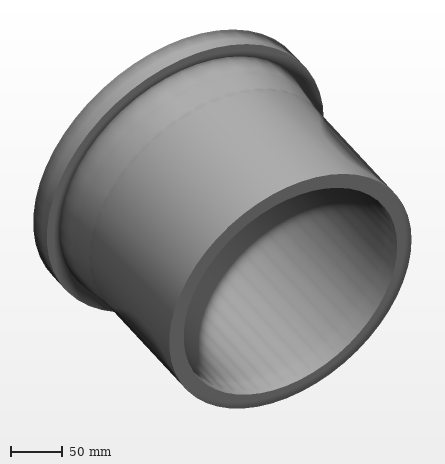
import cadquery as cq

total_length = 218.0
flange_diameter = 320.0
flange_thickness = 25.0
shoulder_diameter = 291.0
shoulder_length = 48.0
pipe_diameter = 280.0
wall_thickness = 16.6

flange_radius = flange_diameter / 2
shoulder_radius = shoulder_diameter / 2
pipe_radius = pipe_diameter / 2
bore_radius = pipe_radius - wall_thickness
shoulder_end = flange_thickness + shoulder_length


def stub_end():
    """Revolve the wall section: flange, tapered shoulder and straight pipe around one bore."""
    wall_section = (
        cq.Workplane("XY")
        .moveTo(0, bore_radius)
        .lineTo(0, flange_radius)
        .lineTo(flange_thickness, flange_radius)
        .lineTo(flange_thickness, shoulder_radius)
        .lineTo(shoulder_end, pipe_radius)
        .lineTo(total_length, pipe_radius)
        .lineTo(total_length, bore_radius)
        .close()
    )
    return wall_section.revolve(360, (0, 0, 0), (1, 0, 0))


result = stub_end()